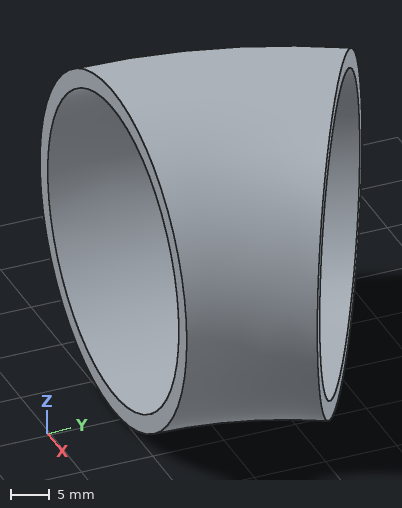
import cadquery as cq

outer_diameter = 48.3
wall_thickness = 2.6
bend_radius = 57.0
bend_angle = 30.0

outer_radius = outer_diameter / 2
inner_radius = outer_radius - wall_thickness


def make_elbow():
    """Revolve the ring section, lying in the XZ plane, from Y = 0 towards +Y and +X."""
    ring = cq.Workplane("XZ").circle(outer_radius).circle(inner_radius)
    axis_start = (bend_radius, 0)
    axis_end = (bend_radius, -1)
    return ring.revolve(bend_angle, axis_start, axis_end)


result = make_elbow()